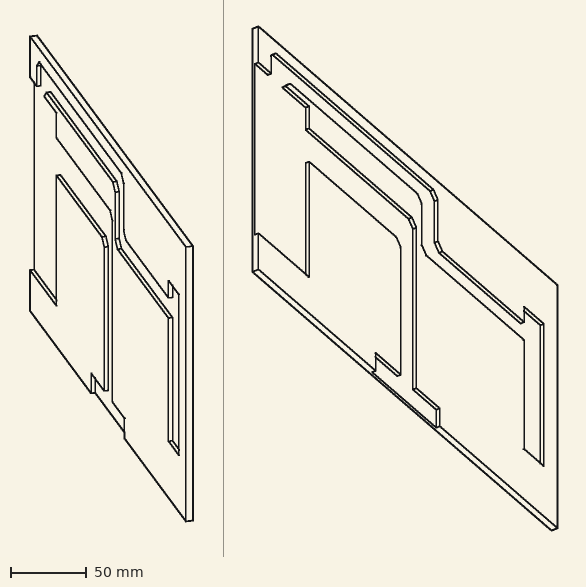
import cadquery as cq

plate_width = 350.0
plate_height = 200.0
plate_thickness = 5.0
recess_depth = 2.8
corner_chamfer = 5.2

left_pad_width = 59.0
left_pad_bottom = 29.8
left_pad_top = plate_height - left_pad_bottom

foot_left = 137.2
foot_width = 75.0
foot_height = 14.7

lower_channel_bottom = 124.5
lower_channel_top = 152.0
stem_left = 166.5
stem_right = 184.8

upper_channel_left = 15.0
riser_width = 16.8
channel_height = 14.7
upper_run_top = 190.0
upper_run_bottom = upper_run_top - channel_height
step_left = 191.0
step_right = 210.0
lower_run_top = 145.5
lower_run_bottom = lower_run_top - channel_height

right_pad_left = 310.8
right_pad_width = 23.0
right_pad_bottom = 41.3
right_pad_height = 117.0


def recess_box(left, bottom, width, height):
    """Rectangular pocket cutter on the front face."""
    return cq.Workplane("XY").box(width, recess_depth, height, centered=False).translate((left, 0, bottom))


def channel(points, cut_corners):
    """Channel cutter with the listed corners of its outline chamfered."""
    cutter = cq.Workplane("XZ").polyline(points).close().extrude(-recess_depth)
    for x, z in cut_corners:
        corner_edge = cq.selectors.NearestToPointSelector((x, recess_depth / 2, z))
        cutter = cutter.edges("|Y").edges(corner_edge).chamfer(corner_chamfer)
    return cutter


upper_bends = [
    (upper_channel_left, upper_run_top),
    (step_right, upper_run_top),
    (step_right, lower_run_top),
]
lower_bends = [
    (step_left, lower_run_bottom),
    (step_left, upper_run_bottom),
    (upper_channel_left + riser_width, upper_run_bottom),
]
upper_channel = channel(
    [(upper_channel_left, left_pad_bottom)]
    + upper_bends
    + [(right_pad_left, lower_run_top), (right_pad_left, lower_run_bottom)]
    + lower_bends
    + [(upper_channel_left + riser_width, left_pad_bottom)],
    upper_bends + lower_bends,
)

outer_bend = (stem_right, lower_channel_top)
inner_bend = (stem_left, lower_channel_bottom)
lower_channel = channel(
    [
        (left_pad_width, lower_channel_top),
        outer_bend,
        (stem_right, foot_height),
        (stem_left, foot_height),
        inner_bend,
        (left_pad_width, lower_channel_bottom),
    ],
    [outer_bend, inner_bend],
)

pads = [
    recess_box(0, left_pad_bottom, left_pad_width, left_pad_top - left_pad_bottom),
    recess_box(foot_left, 0, foot_width, foot_height),
    recess_box(right_pad_left, right_pad_bottom, right_pad_width, right_pad_height),
]

result = cq.Workplane("XY").box(plate_width, plate_thickness, plate_height, centered=False)
for cutter in pads + [upper_channel, lower_channel]:
    result = result.cut(cutter)